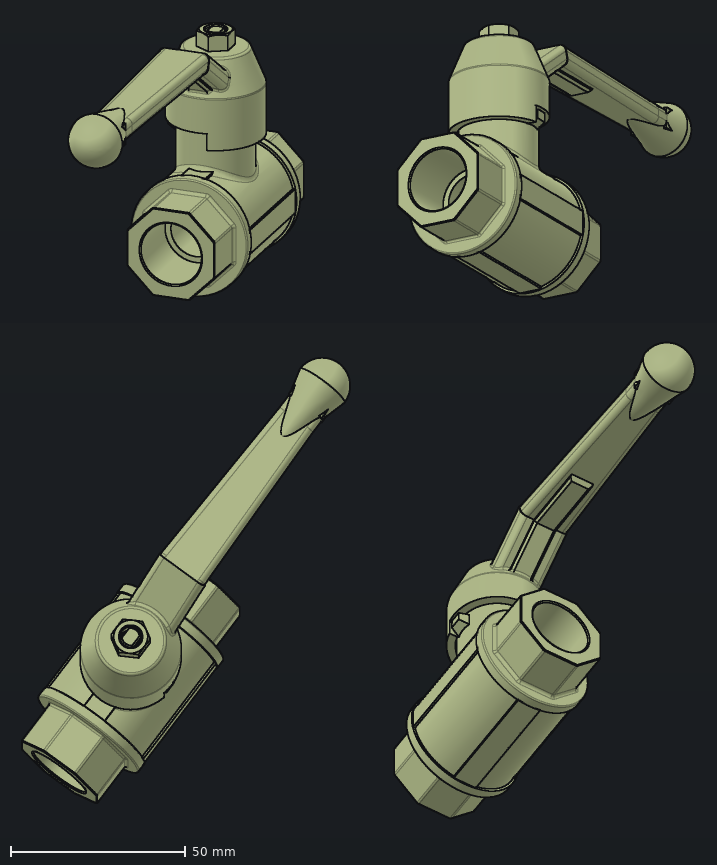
import cadquery as cq
import math

SELECT_MARGIN = 0.1

OVERALL_LENGTH = 134.5
BODY_REAR = 34.4
BODY_FRONT = -34.5
FLANGE_DIAMETER = 36.0
FLANGE_FACE = 20.6
FLANGE_THICKNESS = 3.1
FLANGE_ROUND = 0.4
BARREL_DIAMETER = 34.4
PAD_WIDTH = 7.4
PAD_HEIGHT = 17.5
OCTAGON_SIDES = 8
OCTAGON_ACROSS_FLATS = 27.0
OCTAGON_CORNER_ROUND = 1.0
OCTAGON_END_CHAMFER = 0.3
FRONT_ROOT_FILLET = 1.0
REAR_ROOT_FILLET = 0.7
THREAD_DIAMETER = 18.7
THREAD_DEPTH = 18.8
THREAD_CHAMFER = 0.4
BORE_DIAMETER = 15.0

NECK_DIAMETER = 23.0
NECK_FILLET = 1.9
NECK_TOP = 40.4
SPINDLE_DIAMETER = 6.0
SPINDLE_TIP_DIAMETER = 5.0
SPINDLE_ACROSS_FLATS = 3.8
SPINDLE_TOP = 56.8
FLAT_CUT_MARGIN = 0.7

LUG_ROOT_WIDTH = 6.0
LUG_TIP_WIDTH = 3.8
LUG_REACH = 14.1
LUG_ROOT_BOTTOM = 24.9
LUG_TIP_BOTTOM = 26.5
LUG_TOP = 29.3
LUG_ROOT_X = -10.6

HUB_DIAMETER = 29.0
HUB_BORE_DIAMETER = 24.0
HUB_BOTTOM = 25.0
HUB_CONE_START = 40.9
HUB_TOP = 51.9
HUB_TOP_DIAMETER = 20.0
HUB_TOP_FILLET = 1.0
HUB_SHOULDER_FILLET = 1.1
NOTCH_TOP = 30.1
NOTCH_SIDE = 3.0

LEVER_THICKNESS = 5.9
LEVER_Z = 56.0
LEVER_SLOPE = 35.0
LEVER_BEND_Y = -24.9
LEVER_EDGE_FILLET = 1.9
LEVER_SLOPE_WIDTH = 15.7
LEVER_BEND_WIDTH = 15.3
LEVER_END_WIDTH = 11.8
LEVER_TAPER_END_Y = -79.2
LEVER_TAIL_START_Y = -83.8
LEVER_TAIL_THICKNESS = 6.3
SLOPE_LENGTH = 21.5
LEVER_ROOT_FILLET = 0.8
RIB_WIDTH = 7.3
RIB_DEPTH = 1.3
RIB_CHAMFER = 0.8
RIB_END_Y = -44.9

KNOB_DIAMETER = 16.1
HANDLE_TIP_Y = BODY_REAR - OVERALL_LENGTH
KNOB_Y = HANDLE_TIP_Y + KNOB_DIAMETER / 2
KNOB_CONE_APEX_Y = -61.9

NUT_SIDES = 6
NUT_ACROSS_FLATS = 9.8
NUT_HEIGHT = 5.0
NUT_HOLE_CHAMFER = 0.4
NUT_CORNER_CHAMFER_WIDTH = 0.8
NUT_CORNER_CHAMFER_HEIGHT = 0.4


def cylinder_y(diameter, y_start, y_end):
    """Cylinder on the Y axis."""
    return cq.Workplane("XZ", origin=(0, y_start, 0)).circle(diameter / 2).extrude(y_start - y_end)


def cylinder_z(diameter, z_start, z_end):
    """Cylinder on the Z axis."""
    return cq.Workplane("XY", origin=(0, 0, z_start)).circle(diameter / 2).extrude(z_end - z_start)


def octagon_end(flange_y, end_y, root_fillet):
    """Flange with an octagonal pipe end, filleted where the two meet."""
    end_face = ">Y" if end_y > flange_y else "<Y"
    inner_y = flange_y - math.copysign(FLANGE_THICKNESS, flange_y)
    flange = cylinder_y(FLANGE_DIAMETER, inner_y, flange_y)
    flange = flange.faces(end_face).edges().fillet(FLANGE_ROUND)
    across_corners = OCTAGON_ACROSS_FLATS / math.cos(math.pi / OCTAGON_SIDES)
    pipe = (
        cq.Workplane("XZ", origin=(0, flange_y, 0))
        .transformed(rotate=(0, 0, 180 / OCTAGON_SIDES))
        .polygon(OCTAGON_SIDES, across_corners)
        .extrude(flange_y - end_y)
        .edges("|Y")
        .fillet(OCTAGON_CORNER_ROUND)
    )
    root = cq.selectors.BoxSelector(
        (-across_corners / 2, flange_y - SELECT_MARGIN, -across_corners / 2),
        (across_corners / 2, flange_y + SELECT_MARGIN, across_corners / 2),
    )
    end = flange.union(pipe).edges(root).fillet(root_fillet)
    return end.faces(end_face).edges().chamfer(OCTAGON_END_CHAMFER)


def thread_bore(end_y):
    """Counterbore at one pipe end with a chamfered mouth."""
    step_y = end_y - math.copysign(THREAD_DEPTH, end_y)
    mouth = cq.Solid.makeCone(
        THREAD_DIAMETER / 2 + THREAD_CHAMFER,
        THREAD_DIAMETER / 2,
        THREAD_CHAMFER,
        pnt=cq.Vector(0, end_y, 0),
        dir=cq.Vector(0, -end_y, 0),
    )
    return cylinder_y(THREAD_DIAMETER, end_y, step_y).union(cq.Workplane(mouth))


def barrel_with_neck():
    """Barrel with the neck filleted onto its top and four flat pads along it."""
    barrel = cylinder_y(BARREL_DIAMETER, FLANGE_FACE, -FLANGE_FACE)
    neck = cylinder_z(NECK_DIAMETER, 0, NECK_TOP)
    joint_reach = NECK_DIAMETER / 2 + SELECT_MARGIN
    joint = cq.selectors.BoxSelector((-joint_reach, -joint_reach, 0), (joint_reach, joint_reach, PAD_HEIGHT))
    body = barrel.union(neck).edges(joint).edges("not %LINE").fillet(NECK_FILLET)
    pad_length = 2 * FLANGE_FACE - FLANGE_THICKNESS
    body = body.union(cq.Workplane("XY").box(PAD_WIDTH, pad_length, 2 * PAD_HEIGHT))
    return body.union(cq.Workplane("XY").box(2 * PAD_HEIGHT, pad_length, PAD_WIDTH))


def stop_lug():
    """Tapered lug that stands out of the neck toward -X."""

    def section(x, width, bottom):
        return [
            cq.Vector(x, -width / 2, bottom),
            cq.Vector(x, width / 2, bottom),
            cq.Vector(x, width / 2, LUG_TOP),
            cq.Vector(x, -width / 2, LUG_TOP),
        ]

    root = cq.Wire.makePolygon(section(LUG_ROOT_X, LUG_ROOT_WIDTH, LUG_ROOT_BOTTOM), close=True)
    tip = cq.Wire.makePolygon(section(-LUG_REACH, LUG_TIP_WIDTH, LUG_TIP_BOTTOM), close=True)
    return cq.Workplane(cq.Solid.makeLoft([root, tip], True))


def spindle():
    """Spindle end with two flats and a tip bevelled from the full diameter."""
    tip_bevel = (SPINDLE_DIAMETER - SPINDLE_TIP_DIAMETER) / 2
    shaft = cylinder_z(SPINDLE_DIAMETER, NECK_TOP, SPINDLE_TOP).faces(">Z").chamfer(tip_bevel)
    cut_size = SPINDLE_DIAMETER + 2 * FLAT_CUT_MARGIN
    flats = (
        cq.Workplane("XY", origin=(0, 0, HUB_TOP))
        .rect(cut_size, cut_size)
        .rect(SPINDLE_ACROSS_FLATS, cut_size)
        .extrude(SPINDLE_TOP - HUB_TOP)
    )
    return shaft.cut(flats)


def make_body():
    """Valve body with its neck, stop lug, spindle and stepped through bore."""
    body = (
        barrel_with_neck()
        .union(octagon_end(FLANGE_FACE, BODY_REAR, REAR_ROOT_FILLET))
        .union(octagon_end(-FLANGE_FACE, BODY_FRONT, FRONT_ROOT_FILLET))
        .union(stop_lug())
        .union(spindle())
    )
    body = body.cut(cylinder_y(BORE_DIAMETER, BODY_REAR, BODY_FRONT))
    for end_y in (BODY_REAR, BODY_FRONT):
        body = body.cut(thread_bore(end_y))
    return body


def hub():
    """Solid hub with a conical top."""
    radius = HUB_DIAMETER / 2
    blank = (
        cq.Workplane("XZ")
        .moveTo(0, HUB_BOTTOM)
        .lineTo(radius, HUB_BOTTOM)
        .lineTo(radius, HUB_CONE_START)
        .lineTo(HUB_TOP_DIAMETER / 2, HUB_TOP)
        .lineTo(0, HUB_TOP)
        .close()
        .revolve(360, (0, 0, 0), (0, 1, 0))
    )
    shoulder = cq.selectors.NearestToPointSelector((0, 0, HUB_CONE_START))
    rounded = blank.edges("%CIRCLE").edges(shoulder).fillet(HUB_SHOULDER_FILLET)
    return rounded.faces(">Z").edges().fillet(HUB_TOP_FILLET)


def arm(half_outline, rib_start_y, rib_end_y):
    """Level arm with rounded long edges and a rib below it; half_outline lists (half width, y)."""
    mirrored = [(-x, y) for x, y in reversed(half_outline)]
    bar = (
        cq.Workplane("XY", origin=(0, 0, LEVER_Z - LEVER_THICKNESS / 2))
        .polyline(half_outline + mirrored)
        .close()
        .extrude(LEVER_THICKNESS)
        .edges("not(|Z or |X)")
        .fillet(LEVER_EDGE_FILLET)
    )
    rib_bottom = LEVER_Z - LEVER_THICKNESS / 2 - RIB_DEPTH
    rib = (
        cq.Workplane("YZ")
        .moveTo(rib_start_y, LEVER_Z)
        .lineTo(rib_start_y, rib_bottom)
        .lineTo(rib_end_y, rib_bottom)
        .lineTo(rib_end_y - LEVER_Z + rib_bottom, LEVER_Z)
        .close()
        .extrude(RIB_WIDTH / 2, both=True)
        .faces("<Z")
        .edges("|Y")
        .chamfer(RIB_CHAMFER)
    )
    return bar.union(rib)


def turn_at_bend(shape, angle):
    """Rotate a shape about the cross axis of the lever bend; positive angles dip its +Y end."""
    return shape.rotate((0, LEVER_BEND_Y, LEVER_Z), (1, LEVER_BEND_Y, LEVER_Z), -angle)


def lever():
    """Grip arm with a square-edged tail inside the knob, and sloped arm, mitred together at the bend."""
    overlap_y = LEVER_BEND_Y + LEVER_THICKNESS
    grip = arm(
        [
            (LEVER_BEND_WIDTH / 2, overlap_y),
            (LEVER_BEND_WIDTH / 2, LEVER_BEND_Y),
            (LEVER_END_WIDTH / 2, LEVER_TAPER_END_Y),
            (LEVER_END_WIDTH / 2, LEVER_TAIL_START_Y),
        ],
        overlap_y,
        RIB_END_Y,
    )
    tail = cq.Workplane("XY", origin=(0, (LEVER_TAIL_START_Y + KNOB_Y) / 2, LEVER_Z)).box(
        LEVER_END_WIDTH, LEVER_TAIL_START_Y - KNOB_Y, LEVER_TAIL_THICKNESS
    )
    grip = grip.union(tail)

    slope_start_y = LEVER_BEND_Y - LEVER_THICKNESS
    slope_end_y = LEVER_BEND_Y + SLOPE_LENGTH
    half_width = LEVER_SLOPE_WIDTH / 2
    sloped = arm([(half_width, slope_end_y), (half_width, slope_start_y)], slope_end_y, slope_start_y)
    sloped = turn_at_bend(sloped, LEVER_SLOPE)

    hub_side = cq.Workplane("XY", origin=(0, LEVER_BEND_Y, LEVER_Z)).box(
        HUB_DIAMETER, 2 * SLOPE_LENGTH, 2 * SLOPE_LENGTH, centered=(True, False, True)
    )
    hub_side = turn_at_bend(hub_side, LEVER_SLOPE / 2)
    return grip.cut(hub_side).union(sloped.intersect(hub_side))


def knob():
    """Half ball with a cone that runs back into the lever."""
    radius = KNOB_DIAMETER / 2
    diagonal = radius * math.sqrt(0.5)
    return (
        cq.Workplane("XY", origin=(0, KNOB_Y, LEVER_Z))
        .moveTo(0, -radius)
        .threePointArc((diagonal, -diagonal), (radius, 0))
        .lineTo(0, KNOB_CONE_APEX_Y - KNOB_Y)
        .close()
        .revolve(360, (0, 0, 0), (0, 1, 0))
    )


def notch():
    """Space under the hub that frees the stop lug over a quarter turn."""
    size = HUB_DIAMETER
    corner = (NOTCH_SIDE - size, NOTCH_SIDE - size, NOTCH_TOP - size)
    return cq.Workplane("XY", origin=corner).box(size, size, size, centered=False)


def make_handle():
    """Hub, lever and knob in one piece, bored to sit over the neck and the spindle."""
    handle = hub().union(lever())
    reach = LEVER_SLOPE_WIDTH / 2 + SELECT_MARGIN
    joint = cq.selectors.BoxSelector((-reach, -HUB_DIAMETER / 2, HUB_CONE_START), (reach, 0, HUB_TOP))
    handle = handle.edges(joint).edges("not %CIRCLE").fillet(LEVER_ROOT_FILLET)
    return (
        handle.union(knob())
        .cut(cylinder_z(HUB_BORE_DIAMETER, HUB_BOTTOM, NECK_TOP))
        .cut(cylinder_z(SPINDLE_DIAMETER, NECK_TOP, HUB_TOP))
        .cut(notch())
    )


def make_nut():
    """Hexagon nut with a chamfered hole and bevelled top corners."""
    across_corners = NUT_ACROSS_FLATS / math.cos(math.pi / NUT_SIDES)
    nut_top = HUB_TOP + NUT_HEIGHT
    hexagon = (
        cq.Workplane("XY", origin=(0, 0, HUB_TOP))
        .transformed(rotate=(0, 0, 180 / NUT_SIDES))
        .polygon(NUT_SIDES, across_corners)
        .extrude(NUT_HEIGHT)
    )
    envelope = cylinder_z(across_corners, HUB_TOP, nut_top).faces(">Z").edges()
    envelope = envelope.chamfer(NUT_CORNER_CHAMFER_HEIGHT, NUT_CORNER_CHAMFER_WIDTH)
    nut = hexagon.intersect(envelope).cut(cylinder_z(SPINDLE_DIAMETER, HUB_TOP, nut_top))
    mouth = cq.selectors.RadiusNthSelector(0)
    return nut.faces(">Z").edges("%CIRCLE").edges(mouth).chamfer(NUT_HOLE_CHAMFER)


body = make_body()
handle = make_handle()
nut = make_nut()
result = cq.Compound.makeCompound([body.val(), handle.val(), nut.val()])